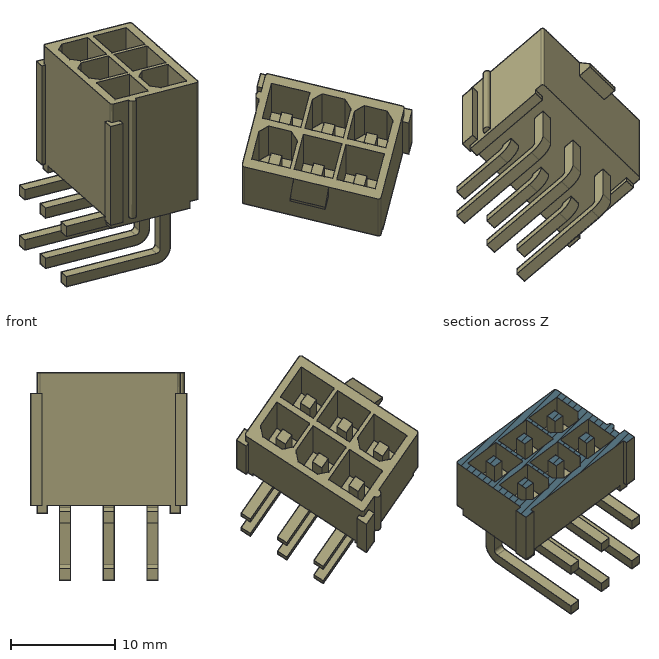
import cadquery as cq


body_width = 13.73
body_depth = 9.59
body_height = 12.78
corner_radius = 0.25

rail_span = 15.0
rail_width = 1.12
rail_depth = 1.35
rail_protrusion = 0.4
rail_top_gap = 2.0

foot_width = 0.98
foot_height = 0.74
foot_setback = 0.95

latch_width = 3.47
latch_protrusion = 1.4
latch_height = 3.0
latch_lip = 0.72

rib_radius = 0.38
rib_flank = 0.04
rib_from_front = 2.3

pitch = 4.2
columns = (-1, 0, 1)
rows = (0, 1)

pocket_width = 3.8
pocket_depth_y = 3.59
pocket_front_wall = 0.85
pocket_depth = 9.96
pocket_chamfer = 0.78
middle_pocket_extra = 0.15
keyed_pockets = ((-1, 0), (0, 0), (1, 1))

pin_width = 1.08
pin_thickness = 1.12
pin_from_front = 2.85
pin_reach = 3.73
pin_length_in_pocket = 5.98
bend_inner_radius = 0.4
overall_height = 19.93
lowest_pin_z = body_height - overall_height
pin_row_drop = 5.48


def box(x_min, y_min, z_min, x_size, y_size, z_size):
    """Block placed by its lowest corner."""
    block = cq.Workplane("XY").box(x_size, y_size, z_size, centered=False)
    return block.translate((x_min, y_min, z_min))


def make_body():
    body = box(-body_width / 2, 0, 0, body_width, body_depth, body_height)
    return body.edges("|Z").fillet(corner_radius)


def make_rail(side):
    center_x = side * (rail_span - rail_width) / 2
    height = body_height - rail_top_gap
    return box(center_x - rail_width / 2, -rail_protrusion, 0, rail_width, rail_depth, height)


def make_foot(side):
    center_x = side * (body_width - foot_width) / 2
    length = body_depth - foot_setback
    return box(center_x - foot_width / 2, 0, -foot_height, foot_width, length, foot_height)


def make_latch():
    tip_y = body_depth + latch_protrusion
    bottom_z = body_height - latch_height
    profile = [
        (body_depth, body_height),
        (tip_y, bottom_z + latch_lip),
        (tip_y, bottom_z),
        (body_depth, bottom_z),
    ]
    return cq.Workplane("YZ").polyline(profile).close().extrude(latch_width / 2, both=True)


def make_rib():
    """Round-nosed rib running the full height of the +X face."""
    face_x = body_width / 2
    nose_x = face_x + rib_flank
    near_y = rib_from_front - rib_radius
    far_y = rib_from_front + rib_radius
    root_x = face_x - rib_radius
    profile = (
        cq.Workplane("XY")
        .moveTo(root_x, near_y)
        .lineTo(nose_x, near_y)
        .threePointArc((nose_x + rib_radius, rib_from_front), (nose_x, far_y))
        .lineTo(root_x, far_y)
        .close()
    )
    return profile.extrude(body_height)


def make_pocket(column, row):
    extra = middle_pocket_extra if (column, row) == (0, 0) else 0
    pocket = box(
        column * pitch - pocket_width / 2,
        pocket_front_wall + row * pitch - extra,
        body_height - pocket_depth,
        pocket_width,
        pocket_depth_y + extra,
        pocket_depth,
    )
    if (column, row) in keyed_pockets:
        pocket = pocket.faces("<Y").edges("|Z").chamfer(pocket_chamfer)
    return pocket


def make_pin(column, row):
    """Rectangular pin standing in its pocket and bent forward below the housing."""
    front_y = pin_from_front + row * pitch - pin_thickness / 2
    back_y = front_y + pin_thickness
    bottom_z = lowest_pin_z + (1 - row) * pin_row_drop
    leg_top_z = bottom_z + pin_thickness
    top_z = body_height - pocket_depth + pin_length_in_pocket
    outer_radius = bend_inner_radius + pin_thickness
    profile = (
        cq.Workplane("YZ")
        .moveTo(-pin_reach, bottom_z)
        .lineTo(back_y - outer_radius, bottom_z)
        .radiusArc((back_y, bottom_z + outer_radius), -outer_radius)
        .lineTo(back_y, top_z)
        .lineTo(front_y, top_z)
        .lineTo(front_y, leg_top_z + bend_inner_radius)
        .radiusArc((front_y - bend_inner_radius, leg_top_z), bend_inner_radius)
        .lineTo(-pin_reach, leg_top_z)
        .close()
    )
    return profile.extrude(pin_width / 2, both=True).translate((column * pitch, 0, 0))


result = make_body().union(make_latch()).union(make_rib())
for side in (-1, 1):
    result = result.union(make_rail(side)).union(make_foot(side))

positions = [(column, row) for column in columns for row in rows]
for column, row in positions:
    result = result.cut(make_pocket(column, row))
for column, row in positions:
    result = result.union(make_pin(column, row))